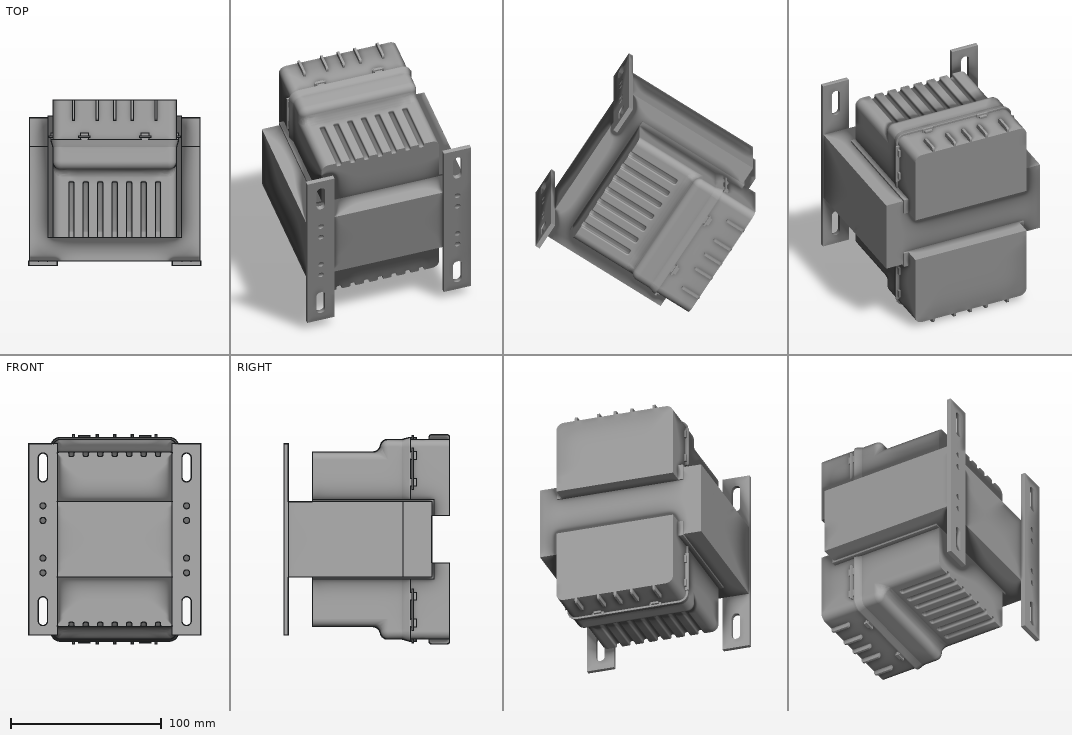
import cadquery as cq
import math

core_width = 113.3
core_depth = 50.0
yoke_depth = 19.0
stack_height = 95.1
yoke_front = stack_height - yoke_depth

overall_width = 114.3
foot_width = 19.0
foot_length = 127.0
foot_thickness = 3.0
slot_length = 19.0
slot_width = 6.0
slot_offset = 47.6
hole_diameter = 4.0
hole_offsets = (12.5, 22.2)
foot_center = (overall_width - foot_width) / 2

flange_width = 88.6
flange_thickness = 1.4
lip_thickness = 1.3
flange_front = 15.8
flange_lip_end = 15.7
core_top = core_depth / 2
flange_top = core_top + flange_thickness
flange_back = stack_height + lip_thickness

housing_width = 82.0
housing_top = 66.3
shelf_top = 57.9
edge_radius = 5.0
joint_y = 80.8
knee_y = 65.8
step_face = knee_y - edge_radius
collar_step = 1.4
collar_lip = 0.5
collar_length = 5.3

groove_count = 7
groove_pitch = 9.6
groove_width = 3.5
groove_depth = 2.9
groove_end = 52.6
groove_end_radius = 1.1
groove_floor_radius = 1.0
groove_mouth_radius = 0.8

latch_block_width = 5.1
latch_block_reach = 4.0
latch_bar_thickness = 1.1
latch_bar_offset = 1.7
latch_bar_height = 2.5
top_latch_offset = 20.1
top_latch_bar = 7.8
side_latch_z = 46.7
side_latch_bar = 27.5
side_block_offset = 8.9

cover_back = 107.0
rib_width = 1.5
rib_length = 13.8
rib_top = 69.5
rib_end_radius = 1.8
rib_offsets = (-27.4, -11.7, 0, 11.7, 27.4)

select_margin = 0.1


def block(width, y_range, z_range, x_center=0):
    """Box centred on x_center that spans the given y and z ranges."""
    return cq.Workplane("XY").box(
        width, y_range[1] - y_range[0], z_range[1] - z_range[0], centered=(True, False, False)
    ).translate((x_center, y_range[0], z_range[0]))


def make_core():
    return block(core_width, (0, yoke_front), (-core_top, core_top))


def make_yoke():
    return block(core_width, (yoke_front, stack_height), (-core_top, core_top))


def make_foot(x_center):
    """Bar with a slot near each end and four fixing holes."""
    foot = block(foot_width, (-foot_thickness, 0), (-foot_length / 2, foot_length / 2))
    slots = [(0, side * slot_offset) for side in (-1, 1)]
    holes = [(0, side * offset) for side in (-1, 1) for offset in hole_offsets]
    plane = cq.Workplane("XZ")
    foot = foot.cut(plane.pushPoints(slots).slot2D(slot_length, slot_width, 90).extrude(foot_thickness))
    foot = foot.cut(plane.pushPoints(holes).circle(hole_diameter / 2).extrude(foot_thickness))
    return foot.translate((x_center, 0, 0))


def make_flange():
    """Plate on the core side, with a lip bent down behind the yoke."""
    plate = block(flange_width, (flange_front, flange_back), (core_top, flange_top))
    lip = block(flange_width, (stack_height, flange_back), (flange_lip_end, flange_top))
    return plate.union(lip)


def make_housing():
    """Tall rear box and low front shelf with rounded edges, blended where they meet."""
    shelf = block(housing_width, (flange_front, joint_y), (flange_top, shelf_top))
    shelf = shelf.faces(">Z").edges("|Y").fillet(edge_radius)
    rear = block(housing_width, (step_face, joint_y), (flange_top, housing_top))
    rear = rear.edges("|Y and >Z or |Z and <Y or |X and >Z and <Y").fillet(edge_radius)
    rear = rear.union(block(housing_width, (step_face, joint_y), (flange_top, shelf_top - edge_radius)))
    housing = shelf.union(rear)
    inner_corner = cq.selectors.BoxSelector(
        (-housing_width, step_face - select_margin, shelf_top - select_margin),
        (housing_width, step_face + select_margin, shelf_top + select_margin),
    )
    return housing.edges(inner_corner).fillet(edge_radius)


def collar_section(y, growth):
    """Wire of the arched cross-section at y, enlarged outward by growth."""
    side = housing_width / 2 + growth
    top = housing_top + growth
    radius = edge_radius + growth
    bend = radius * (1 - math.sqrt(0.5))
    return (
        cq.Workplane("XZ", origin=(0, y, 0))
        .moveTo(-side, flange_top)
        .lineTo(-side, top - radius)
        .threePointArc((-side + bend, top - bend), (-side + radius, top))
        .lineTo(side - radius, top)
        .threePointArc((side - bend, top - bend), (side, top - radius))
        .lineTo(side, flange_top)
        .close()
    )


def make_collar():
    """Raised band at the joint that tapers down to the housing surface."""
    lip_front = joint_y - collar_lip
    lip = collar_section(joint_y, collar_step).extrude(collar_lip)
    wide = collar_section(lip_front, collar_step).val()
    narrow = collar_section(joint_y - collar_length, 0).val()
    taper = cq.Workplane(cq.Solid.makeLoft([wide, narrow], True))
    return lip.union(taper)


def make_latch(bar_length, block_offsets):
    """Latch standing up from z = 0: tongues behind the joint and a bar across them."""
    bar_front = latch_bar_offset - latch_bar_thickness / 2
    latch = block(bar_length, (bar_front, bar_front + latch_bar_thickness), (0, latch_bar_height))
    for offset in block_offsets:
        latch = latch.union(block(latch_block_width, (0, latch_block_reach), (0, collar_step), offset))
    return latch


def make_latches():
    latches = []
    top_latch = make_latch(top_latch_bar, (0,))
    side_latch = make_latch(side_latch_bar, (-side_block_offset, side_block_offset))
    for side in (-1, 1):
        latches.append(top_latch.translate((side * top_latch_offset, joint_y, housing_top)))
        turned = side_latch.rotate((0, 0, 0), (0, 1, 0), side * 90)
        latches.append(turned.translate((side * housing_width / 2, joint_y, side_latch_z)))
    return latches


def cut_grooves(shroud):
    """Round-ended grooves, open at the front of the shelf, with rolled edges."""
    y_range = (flange_front - groove_width, groove_end)
    groove = block(groove_width, y_range, (shelf_top - groove_depth, housing_top))
    groove = groove.edges("|Z and >Y").fillet(groove_end_radius)
    groove = groove.faces("<Z").edges("not <Y").fillet(groove_floor_radius)
    first_x = -groove_pitch * (groove_count - 1) / 2
    for index in range(groove_count):
        shroud = shroud.cut(groove.translate((first_x + index * groove_pitch, 0, 0)))
    reach = -first_x + groove_width
    mouths = cq.selectors.BoxSelector(
        (-reach, flange_front + select_margin, shelf_top - select_margin),
        (reach, groove_end + select_margin, shelf_top + select_margin),
    )
    return shroud.edges(mouths).fillet(groove_mouth_radius)


def make_shroud():
    shroud = cut_grooves(make_housing())
    shroud = shroud.union(make_collar()).union(make_flange())
    for latch in make_latches():
        shroud = shroud.union(latch)
    return shroud


def make_cover():
    """Terminal cover behind the shroud, notched to sit over the flange and its lip."""
    cover = block(housing_width, (joint_y, cover_back), (flange_lip_end, housing_top))
    cover = cover.faces(">Z").edges("|Y").fillet(edge_radius)
    cover = cover.cut(block(flange_width, (joint_y, flange_back), (flange_lip_end, flange_top)))
    rib = block(rib_width, (cover_back - rib_length, cover_back), (housing_top, rib_top))
    rib = rib.faces(">Z").edges("|X").fillet(rib_end_radius)
    for offset in rib_offsets:
        cover = cover.union(rib.translate((offset, 0, 0)))
    return cover


core = make_core()
yoke = make_yoke()
feet = [make_foot(side * foot_center) for side in (-1, 1)]
top_shroud = make_shroud()
shrouds = [top_shroud, top_shroud.mirror("XY")]
top_cover = make_cover()
covers = [top_cover, top_cover.mirror("XY")]

bodies = [core, yoke, *feet, *shrouds, *covers]
result = cq.Compound.makeCompound([body.val() for body in bodies])